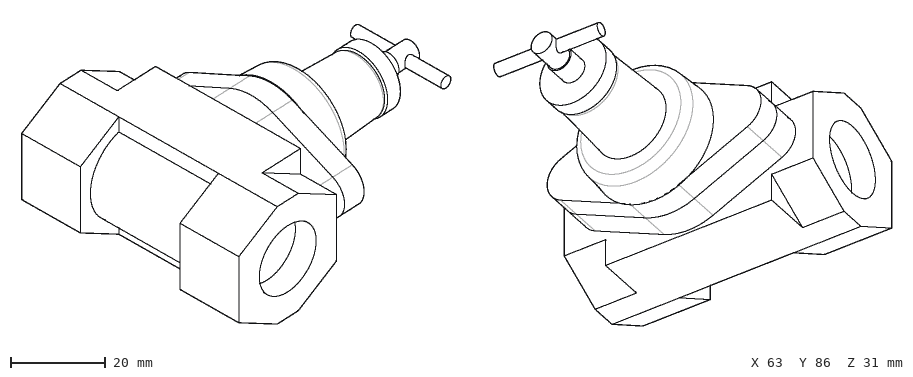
import cadquery as cq
import math


BODY_LENGTH = 63.0
BODY_DEPTH = 30.0
BODY_HEIGHT = 31.0
END_FLAT_HEIGHT = 17.5
TOP_FLAT_DEPTH = 6.45
WAIST_LENGTH = 28.9
WAIST_RADIUS = 11.95
NOTCH_LENGTH = 10.5
PORT_DIAMETER = 17.5
PORT_DEPTH = 6.0

FLANGE_RADIUS = 14.8
EAR_RADIUS = 5.9
EAR_OFFSET = 21.15
BODY_FLANGE_THICKNESS = 7.1
BONNET_FLANGE_THICKNESS = 6.0

DOME_BASE_RADIUS = 15.05
DOME_TOP_RADIUS = 14.45
DOME_HEIGHT = 8.9
DOME_FILLET = 1.9
NECK_BASE_RADIUS = 8.95
NECK_TOP_RADIUS = 8.1
NECK_HEIGHT = 18.1
NECK_FILLET = 1.0
CAP_RADIUS = 8.4
CAP_HEIGHT = 3.95
STEM_RADIUS = 3.0
STEM_HEIGHT = 5.25
STEM_TIP_RADIUS = 2.7
OVERALL_DEPTH = 86.0
HANDLE_LENGTH = 26.2
HANDLE_DIAMETER = 3.1
HANDLE_FROM_TIP = 3.0

body_face = BODY_DEPTH / 2
flange_joint = body_face + BODY_FLANGE_THICKNESS
dome_base = flange_joint + BONNET_FLANGE_THICKNESS
neck_base = dome_base + DOME_HEIGHT
cap_base = neck_base + NECK_HEIGHT
stem_base = cap_base + CAP_HEIGHT
tip_base = stem_base + STEM_HEIGHT
tip_end = OVERALL_DEPTH - body_face
handle_place = tip_end - HANDLE_FROM_TIP


def flange_plate(start, thickness):
    """Oval plate: a central disc and two ears joined by tangent lines."""
    slope = math.asin((FLANGE_RADIUS - EAR_RADIUS) / EAR_OFFSET)
    disc_x = FLANGE_RADIUS * math.sin(slope)
    disc_z = FLANGE_RADIUS * math.cos(slope)
    ear_x = EAR_OFFSET + EAR_RADIUS * math.sin(slope)
    ear_z = EAR_RADIUS * math.cos(slope)
    ear_tip = EAR_OFFSET + EAR_RADIUS
    return (
        cq.Workplane("XZ", origin=(0, start, 0))
        .moveTo(-disc_x, disc_z)
        .threePointArc((0, FLANGE_RADIUS), (disc_x, disc_z))
        .lineTo(ear_x, ear_z)
        .threePointArc((ear_tip, 0), (ear_x, -ear_z))
        .lineTo(disc_x, -disc_z)
        .threePointArc((0, -FLANGE_RADIUS), (-disc_x, -disc_z))
        .lineTo(-ear_x, -ear_z)
        .threePointArc((-ear_tip, 0), (-ear_x, ear_z))
        .close()
        .extrude(-thickness)
    )


def round_section(start, height, base_radius, top_radius):
    """Cylinder or cone around the stem axis, growing toward +Y."""
    return (
        cq.Workplane("XY")
        .moveTo(0, start)
        .lineTo(base_radius, start)
        .lineTo(top_radius, start + height)
        .lineTo(0, start + height)
        .close()
        .revolve(360, (0, 0), (0, 1))
    )


def x_cylinder(start, length, diameter, y=0):
    return cq.Workplane("YZ", origin=(start, y, 0)).circle(diameter / 2).extrude(length)


def end_block(start, length):
    """Eight-sided prism along X."""
    half_depth = BODY_DEPTH / 2
    half_height = BODY_HEIGHT / 2
    half_end = END_FLAT_HEIGHT / 2
    half_top = TOP_FLAT_DEPTH / 2
    outline = [
        (-half_depth, -half_end),
        (-half_top, -half_height),
        (half_top, -half_height),
        (half_depth, -half_end),
        (half_depth, half_end),
        (half_top, half_height),
        (-half_top, half_height),
        (-half_depth, half_end),
    ]
    return cq.Workplane("YZ", origin=(start, 0, 0)).polyline(outline).close().extrude(length)


def make_body():
    half_length = BODY_LENGTH / 2
    block_length = (BODY_LENGTH - WAIST_LENGTH) / 2

    middle_length = BODY_LENGTH - 2 * NOTCH_LENGTH
    middle_front = -TOP_FLAT_DEPTH / 2
    body = cq.Workplane("XY").box(
        middle_length, body_face - middle_front, BODY_HEIGHT
    ).translate((0, (body_face + middle_front) / 2, 0))

    body = body.union(x_cylinder(-WAIST_LENGTH / 2, WAIST_LENGTH, 2 * WAIST_RADIUS))
    for start in (-half_length, half_length - block_length):
        body = body.union(end_block(start, block_length))

    body = body.union(flange_plate(body_face, BODY_FLANGE_THICKNESS))

    for start in (-half_length, half_length - PORT_DEPTH):
        body = body.cut(x_cylinder(start, PORT_DEPTH, PORT_DIAMETER))
    return body


def make_bonnet():
    dome = round_section(dome_base, DOME_HEIGHT, DOME_BASE_RADIUS, DOME_TOP_RADIUS)
    dome = dome.faces(">Y").edges().fillet(DOME_FILLET)
    neck = round_section(neck_base, NECK_HEIGHT, NECK_BASE_RADIUS, NECK_TOP_RADIUS)
    neck = neck.faces(">Y").edges().fillet(NECK_FILLET)
    cap = round_section(cap_base, CAP_HEIGHT, CAP_RADIUS, CAP_RADIUS)
    stem = round_section(stem_base, STEM_HEIGHT, STEM_RADIUS, STEM_RADIUS)
    tip = round_section(tip_base, tip_end - tip_base, STEM_TIP_RADIUS, STEM_TIP_RADIUS)
    handle = x_cylinder(-HANDLE_LENGTH / 2, HANDLE_LENGTH, HANDLE_DIAMETER, handle_place)

    bonnet = flange_plate(flange_joint, BONNET_FLANGE_THICKNESS)
    for section in (dome, neck, cap, stem, tip, handle):
        bonnet = bonnet.union(section)
    return bonnet


body = make_body()
bonnet = make_bonnet()

result = cq.Compound.makeCompound([body.val(), bonnet.val()])